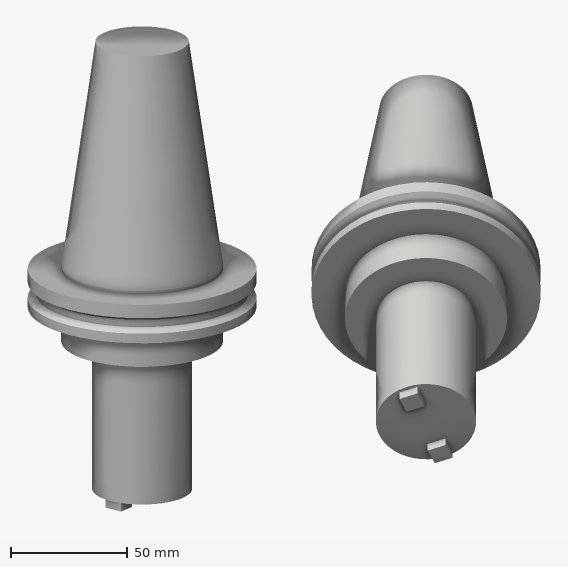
import cadquery as cq

total_height = 207.2
lug_height = 4.4
collar_bottom = 71.3
flange_bottom = 86.8
flange_top = 104.2
taper_bottom = 105.7

flange_radius = 98.5 / 2
collar_radius = 34.8
shank_radius = 21.5
taper_top_radius = 20.0

groove_radius = 45.8
groove_floor_bottom = 93.0
groove_floor_top = 96.3
groove_flank_height = 1.9

lug_width = 8.3
lug_inner = 12.0
lug_outer = 19.9


def turned_body():
    """Shank, collar, grooved flange and taper revolved about Z."""
    profile = [
        (0, lug_height),
        (shank_radius, lug_height),
        (shank_radius, collar_bottom),
        (collar_radius, collar_bottom),
        (collar_radius, flange_bottom),
        (flange_radius, flange_bottom),
        (flange_radius, groove_floor_bottom - groove_flank_height),
        (groove_radius, groove_floor_bottom),
        (groove_radius, groove_floor_top),
        (flange_radius, groove_floor_top + groove_flank_height),
        (flange_radius, flange_top),
        (collar_radius, flange_top),
        (collar_radius, taper_bottom),
        (taper_top_radius, total_height),
        (0, total_height),
    ]
    return cq.Workplane("XZ").polyline(profile).close().revolve(360, (0, 0, 0), (0, 1, 0))


def drive_lugs():
    """Two rectangular lugs on opposite sides along Y."""
    lug_offset = (lug_inner + lug_outer) / 2
    return (
        cq.Workplane("XY")
        .pushPoints([(0, -lug_offset), (0, lug_offset)])
        .rect(lug_width, lug_outer - lug_inner)
        .extrude(lug_height)
    )


result = turned_body().union(drive_lugs())